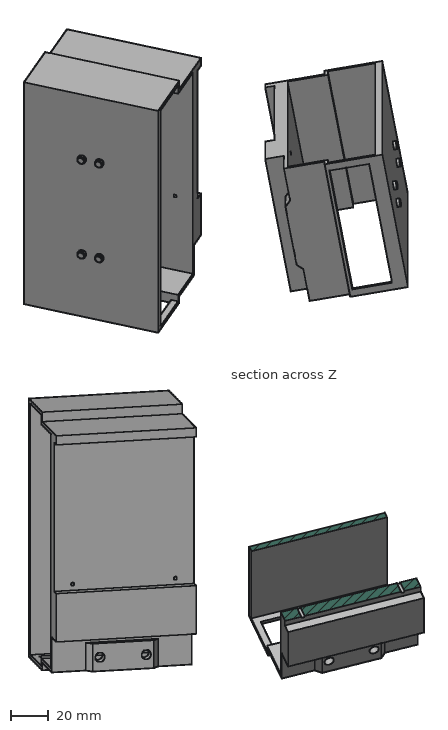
import cadquery as cq

width = 76.0
height = 140.5
depth = 63.0

wall = 2.0
front_wall = 4.0
shoulder_y = 31.0
riser_wall = 1.8
riser_y = shoulder_y - riser_wall
top_step = 5.2
bottom_step = 4.1
back_inner_y = 50.9
back_outer_y = back_inner_y + wall

rail_depth = 5.0
rail_top = height - 10.1
rail_bottom = 49.5
block_bottom = 23.2

tab_depth = 3.1
tab_height = 15.2
tab_width = 39.3
tab_taper = tab_depth

window_margin = 4.0
window_front = front_wall + window_margin

pin_diameter = 4.5
pin_length = 2.1
pin_chamfer = 0.5
pin_spacing_x = 10.0
pin_heights = (39.9, 99.9)

small_hole = (1.7, 10.1, 52.8)
large_hole = (5.0, 25.5, bottom_step + tab_height / 2)


def extrude_along_x(points):
    return cq.Workplane("YZ").polyline(points).close().extrude(width)


def make_housing():
    top_ledge = height - top_step
    rail_floor = depth - rail_depth
    outer = extrude_along_x([
        (0, 0),
        (shoulder_y, 0),
        (shoulder_y, bottom_step),
        (back_outer_y, bottom_step),
        (back_outer_y, block_bottom),
        (depth, block_bottom),
        (depth, rail_bottom),
        (rail_floor, rail_bottom),
        (rail_floor, rail_top),
        (depth, rail_top),
        (depth, top_ledge),
        (shoulder_y, top_ledge),
        (shoulder_y, height),
        (0, height),
    ])
    cavity = extrude_along_x([
        (front_wall, wall),
        (riser_y, wall),
        (riser_y, bottom_step + wall),
        (back_inner_y, bottom_step + wall),
        (back_inner_y, top_ledge - wall),
        (riser_y, top_ledge - wall),
        (riser_y, height - wall),
        (front_wall, height - wall),
    ])
    return outer.cut(cavity)


def make_tab():
    half_base = tab_width / 2
    half_tip = half_base - tab_taper
    tip_y = back_outer_y + tab_depth
    return (
        cq.Workplane("XY", origin=(width / 2, 0, bottom_step))
        .polyline([
            (-half_base, back_inner_y + wall / 2),
            (half_base, back_inner_y + wall / 2),
            (half_base, back_outer_y),
            (half_tip, tip_y),
            (-half_tip, tip_y),
            (-half_base, back_outer_y),
        ])
        .close()
        .extrude(tab_height)
    )


def make_pins():
    half_spacing = pin_spacing_x / 2
    centres = [
        (width / 2 + side * half_spacing, z)
        for side in (-1, 1)
        for z in pin_heights
    ]
    return (
        cq.Workplane("XZ")
        .pushPoints(centres)
        .circle(pin_diameter / 2)
        .extrude(pin_length)
        .faces("<Y")
        .chamfer(pin_chamfer)
    )


def make_floor_window():
    window_depth = riser_y - window_front
    return cq.Workplane("XY").box(
        width - 2 * window_margin, window_depth, wall, centered=False
    ).translate((window_margin, window_front, 0))


def make_hole_pair(diameter, inset, z):
    return (
        cq.Workplane("XZ", origin=(0, back_inner_y, 0))
        .pushPoints([(inset, z), (width - inset, z)])
        .circle(diameter / 2)
        .extrude(back_inner_y - depth)
    )


result = make_housing().union(make_tab()).union(make_pins())
result = result.cut(make_floor_window())
for hole in (small_hole, large_hole):
    result = result.cut(make_hole_pair(*hole))